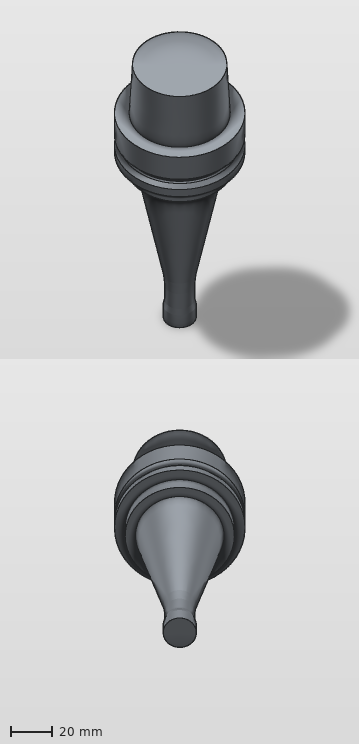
import cadquery as cq

total_height = 167.0
flange_top = 135.0
groove_top_rim = 120.4
groove_bottom_rim = 113.5
flange_bottom = 108.9
collar_bottom = 100.7
cone_bottom = 28.9
neck_top = 21.4
neck_bottom = 11.5
tip_top = 8.0

shank_top_radius = 45.6 / 2
shank_base_radius = 48.8 / 2
flange_radius = 63.0 / 2
groove_radius = 55.0 / 2
collar_radius = 52.6 / 2
cone_top_radius = 42.8 / 2
cone_bottom_radius = 15.9 / 2
neck_radius = 14.5 / 2
tip_radius = 16.0 / 2

bevel_depth = 2.5
bevel_height = 1.7
bevel_radius = flange_radius - bevel_depth

profile = (
    cq.Workplane("XZ")
    .lineTo(tip_radius, 0)
    .lineTo(tip_radius, tip_top)
    .lineTo(neck_radius, neck_bottom)
    .lineTo(neck_radius, neck_top)
    .lineTo(cone_bottom_radius, cone_bottom)
    .lineTo(cone_top_radius, collar_bottom)
    .lineTo(collar_radius, collar_bottom)
    .lineTo(collar_radius, flange_bottom)
    .lineTo(flange_radius, flange_bottom)
    .lineTo(flange_radius, groove_bottom_rim)
    .lineTo(bevel_radius, groove_bottom_rim + bevel_height)
    .lineTo(groove_radius, groove_bottom_rim + bevel_height)
    .lineTo(groove_radius, groove_top_rim - bevel_height)
    .lineTo(bevel_radius, groove_top_rim - bevel_height)
    .lineTo(flange_radius, groove_top_rim)
    .lineTo(flange_radius, flange_top)
    .lineTo(shank_base_radius, flange_top)
    .lineTo(shank_top_radius, total_height)
    .lineTo(0, total_height)
    .close()
)

axis_start = (0, 0)
axis_end = (0, 1)
result = profile.revolve(360, axis_start, axis_end)